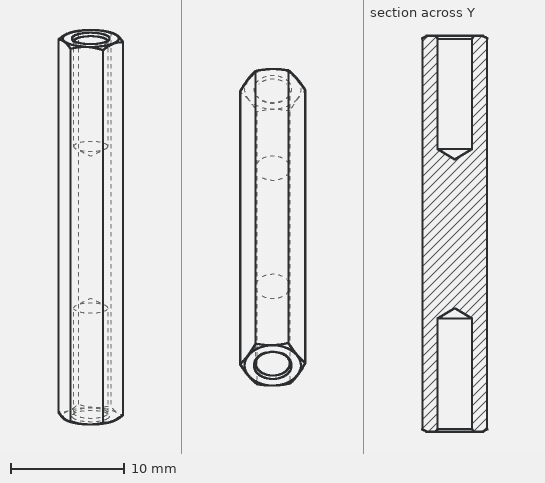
import cadquery as cq
import math

length = 35.0
across_flats = 5.0
across_corners = across_flats / math.cos(math.radians(30))

end_face_diameter = 4.97
chamfer_angle = 30.0
chamfer_width = (across_corners - end_face_diameter) / 2
chamfer_height = chamfer_width * math.tan(math.radians(chamfer_angle))

hole_diameter = 3.0
hole_depth = 10.0
drill_point_angle = 118.0
mouth_diameter = 3.32
countersink_angle = 60.0


def corner_trim():
    """Cylinder around the hexagon corners, chamfered at both ends."""
    return (
        cq.Workplane("XY")
        .circle(across_corners / 2)
        .extrude(length)
        .faces("<Z or >Z")
        .chamfer(chamfer_height, chamfer_width)
    )


def blind_hole():
    """Hole that enters the bottom end, as a solid to cut away."""
    hole_radius = hole_diameter / 2
    mouth_radius = mouth_diameter / 2
    mouth_depth = (mouth_radius - hole_radius) / math.tan(math.radians(countersink_angle / 2))
    point_height = hole_radius / math.tan(math.radians(drill_point_angle / 2))
    return (
        cq.Workplane("XZ")
        .polyline([
            (0, 0),
            (mouth_radius, 0),
            (hole_radius, mouth_depth),
            (hole_radius, hole_depth),
            (0, hole_depth + point_height),
        ])
        .close()
        .revolve(360, (0, 0, 0), (0, 1, 0))
    )


body = cq.Workplane("XY").polygon(6, across_corners).extrude(length)
body = body.intersect(corner_trim())

bottom_hole = blind_hole()
top_hole = bottom_hole.mirror("XY", (0, 0, length / 2))
result = body.cut(bottom_hole).cut(top_hole)